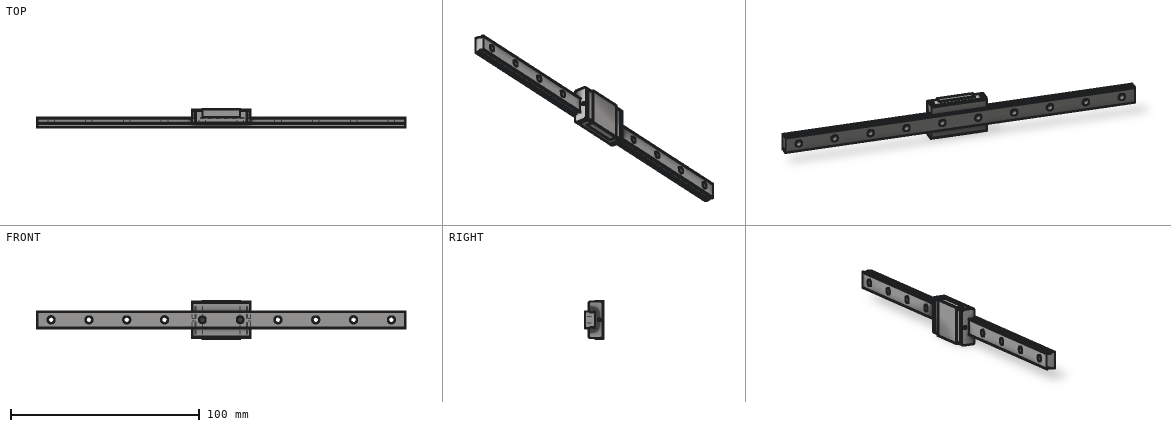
import cadquery as cq

rail_length = 195.0
rail_width = 9.0
rail_height = 5.5
rail_chamfer = 0.3
head_width = 8.8
base_height = 2.0
hole_count = 10
hole_diameter = 3.5
hole_end_margin = 7.5
hole_pitch = (rail_length - 2 * hole_end_margin) / (hole_count - 1)
groove_diameter = 2.5
groove_depth = 0.5
groove_height = 3.7

total_height = 10.0
frame_length = 30.8
frame_width = 19.5
frame_bottom = 2.0
frame_top = 9.5
frame_chamfer = 0.8
block_length = 19.7
block_width = 20.0
block_bottom = 5.5
block_chamfer = 0.3

plate_thickness = 1.5
slit_width = 0.5
slit_depth = 0.1
port_diameter = 1.5
port_depth = 1.5
port_height = 7.6


def bar(length, width, bottom, top):
    """Rectangular bar along X, centred in X and Z, between two Y levels."""
    return cq.Workplane("XY").box(length, top - bottom, width).translate((0, (bottom + top) / 2, 0))


def rail_blank():
    """Rail without its mounting holes: wide base, sloped shoulders and a head with two ball grooves."""
    shoulder = (rail_width - head_width) / 2
    base = bar(rail_length, rail_width, 0, base_height)
    base = base.faces(">Y").edges("|X").chamfer(shoulder)
    base = base.faces("<Y").edges("|X").chamfer(rail_chamfer)
    head = bar(rail_length, head_width, base_height, rail_height)
    head = head.faces(">Y").edges("|X").chamfer(rail_chamfer)
    groove_offset = head_width / 2 + groove_diameter / 2 - groove_depth
    grooves = (
        cq.Workplane("YZ", origin=(-rail_length / 2, 0, 0))
        .pushPoints([(groove_height, groove_offset), (groove_height, -groove_offset)])
        .circle(groove_diameter / 2)
        .extrude(rail_length)
    )
    return base.union(head).cut(grooves)


def make_rail():
    """Rail with a row of through holes for its mounting screws."""
    first_hole = hole_end_margin - rail_length / 2
    hole_places = [(first_hole + hole_pitch * number, 0) for number in range(hole_count)]
    holes = (
        cq.Workplane("XZ")
        .pushPoints(hole_places)
        .circle(hole_diameter / 2)
        .extrude(-rail_height)
    )
    return rail_blank().cut(holes)


def frame_slit(side):
    """Shallow slit over the top and flanks of the frame, just inside the end plate on the given X side."""
    middle = side * (frame_length / 2 - plate_thickness - slit_width / 2)
    ring = bar(slit_width, block_width, 0, total_height)
    core_width = frame_width - 2 * slit_depth
    core = bar(slit_width, core_width, frame_bottom, frame_top - slit_depth)
    core = core.edges("|X").chamfer(frame_chamfer)
    return ring.cut(core).translate((middle, 0, 0))


def lubrication_port(side):
    """Blind round hole in the end face on the given X side."""
    port = cq.Workplane("YZ").center(port_height, 0).circle(port_diameter / 2).extrude(-side * port_depth)
    return port.translate((side * frame_length / 2, 0, 0))


def make_carriage():
    """Carriage whose channel fits the rail section exactly."""
    frame = bar(frame_length, frame_width, frame_bottom, frame_top).edges("|X").chamfer(frame_chamfer)
    for side in (-1, 1):
        frame = frame.cut(frame_slit(side)).cut(lubrication_port(side))
    block = bar(block_length, block_width, block_bottom, total_height).edges("|X").chamfer(block_chamfer)
    return frame.union(block).cut(rail_blank())


rail = make_rail()
carriage = make_carriage()

result = cq.Compound.makeCompound([rail.val(), carriage.val()])